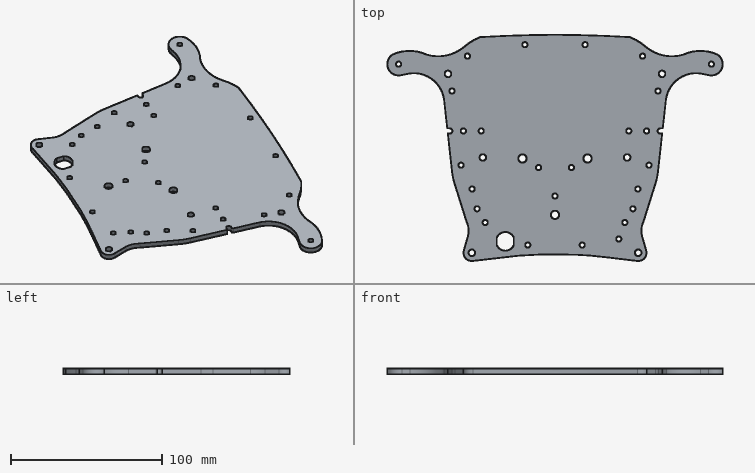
import cadquery as cq
import math

LENGTH = 150.0
HALF_WIDTH = 111.1
THICKNESS = 4.0

SMALL_HOLE = 3.3
MEDIUM_HOLE = 4.2
LARGE_HOLE = 5.3

EAR_RADIUS = 7.5
EAR_CENTRE = (HALF_WIDTH - EAR_RADIUS, 130.5)
EAR_START_ANGLE = 60
EAR_END_ANGLE = -105
TAIL_RADIUS = 5.5
TAIL_CENTRE = (55.1, TAIL_RADIUS)
TAIL_START_ANGLE = 18
TAIL_END_ANGLE = -96

HOLLOW_DEPTH = 4.5
HOLLOW_SHOULDER = (21.1, 3.8)

SIDE_ROW_Y = 86.2
NOTCH_WIDTH = SMALL_HOLE
NOTCH_BOTTOM_X = 68.0
NOTCH_LIP_RADIUS = 1.0

ACCESS_CENTRE = (-33.0, 13.1)
ACCESS_DIAMETER = 12.2
ACCESS_ACROSS_FLATS = 11.1

PAIRED_SMALL_HOLES = [
    (20.0, 143.4),
    (58.0, 135.8),
    EAR_CENTRE,
    (68.2, 112.7),
    (60.7, SIDE_ROW_Y),
    (49.0, SIDE_ROW_Y),
    (62.2, 63.5),
    (11.0, 62.0),
    (55.0, 47.8),
    (51.5, 34.7),
    (46.2, 25.5),
    (18.0, 10.7),
]
SINGLE_SMALL_HOLES = [(0, 43.1), (42.2, 14.7)]
PAIRED_MEDIUM_HOLES = [(71.0, 124.0), (47.8, 68.7), TAIL_CENTRE]
PAIRED_LARGE_HOLES = [(21.5, 68.0)]
SINGLE_LARGE_HOLES = [(0, 30.7)]


def on_circle(centre, radius, angle):
    """Point on a circle at an angle in degrees from +X."""
    turn = math.radians(angle)
    return (centre[0] + radius * math.cos(turn), centre[1] + radius * math.sin(turn))


def with_mirrored(points):
    """The points together with their mirror images at -X."""
    return points + [(-x, y) for x, y in points]


TAIL_END = on_circle(TAIL_CENTRE, TAIL_RADIUS, TAIL_END_ANGLE)


def half_plate():
    """The +X half of the plate, bounded by the centre line."""
    ear_start = on_circle(EAR_CENTRE, EAR_RADIUS, EAR_START_ANGLE)
    ear_mid = (HALF_WIDTH, EAR_CENTRE[1])
    ear_end = on_circle(EAR_CENTRE, EAR_RADIUS, EAR_END_ANGLE)
    tail_start = on_circle(TAIL_CENTRE, TAIL_RADIUS, TAIL_START_ANGLE)
    tail_mid = on_circle(TAIL_CENTRE, TAIL_RADIUS, (TAIL_START_ANGLE + TAIL_END_ANGLE) / 2)
    return (
        cq.Workplane("XY")
        .moveTo(0, LENGTH)
        .threePointArc((25.0, 149.5), (49.5, 148.5))
        .threePointArc((55.3, 145.5), (60.5, 141.8))
        .threePointArc((72.2, 136.2), (85.1, 137.0))
        .threePointArc((97.0, 139.4), ear_start)
        .threePointArc(ear_mid, ear_end)
        .lineTo(96.2, 124.2)
        .threePointArc((82.5, 121.1), (73.5, 107.1))
        .lineTo(68.2, 59.0)
        .threePointArc((67.5, 55.0), (66.5, 51.0))
        .lineTo(58.7, 26.2)
        .threePointArc((57.3, 21.1), (57.8, 16.5))
        .lineTo(*tail_start)
        .threePointArc(tail_mid, TAIL_END)
        .lineTo(0, TAIL_END[1])
        .close()
        .extrude(THICKNESS)
    )


def holes(diameter, centres):
    return cq.Workplane("XY").pushPoints(centres).circle(diameter / 2).extrude(THICKNESS)


def with_side_notch(half):
    """Cut the round-ended slot in the +X side and round its front lip."""
    slot_length = 2 * (HALF_WIDTH - NOTCH_BOTTOM_X)
    slot = (
        cq.Workplane("XY")
        .center(HALF_WIDTH, SIDE_ROW_Y)
        .slot2D(slot_length, NOTCH_WIDTH)
        .extrude(THICKNESS)
    )
    notched = half.cut(slot)
    just_outside_lip = (
        NOTCH_BOTTOM_X + 1.5 * NOTCH_WIDTH,
        SIDE_ROW_Y + NOTCH_WIDTH / 2,
        THICKNESS / 2,
    )
    lip = cq.selectors.NearestToPointSelector(just_outside_lip)
    return notched.edges("|Z").edges(lip).fillet(NOTCH_LIP_RADIUS)


def rear_hollow():
    """Shallow smooth hollow between the tails, leaving each tail tangentially."""
    end_x, end_y = TAIL_END
    slope = math.tan(math.radians(-90 - TAIL_END_ANGLE))
    curve_points = [
        (-end_x, end_y),
        (-HOLLOW_SHOULDER[0], HOLLOW_SHOULDER[1]),
        (0, HOLLOW_DEPTH),
        HOLLOW_SHOULDER,
        (end_x, end_y),
    ]
    return (
        cq.Workplane("XY")
        .spline(curve_points, tangents=[(1, slope), (1, -slope)])
        .close()
        .extrude(THICKNESS)
    )


def access_hole():
    flats = (
        cq.Workplane("XY")
        .center(*ACCESS_CENTRE)
        .rect(ACCESS_ACROSS_FLATS, ACCESS_DIAMETER)
        .extrude(THICKNESS)
    )
    return holes(ACCESS_DIAMETER, [ACCESS_CENTRE]).intersect(flats)


half = with_side_notch(half_plate())
plate = half.union(half.mirror("YZ")).cut(rear_hollow())

result = (
    plate
    .cut(holes(SMALL_HOLE, with_mirrored(PAIRED_SMALL_HOLES) + SINGLE_SMALL_HOLES))
    .cut(holes(MEDIUM_HOLE, with_mirrored(PAIRED_MEDIUM_HOLES)))
    .cut(holes(LARGE_HOLE, with_mirrored(PAIRED_LARGE_HOLES) + SINGLE_LARGE_HOLES))
    .cut(access_hole())
)